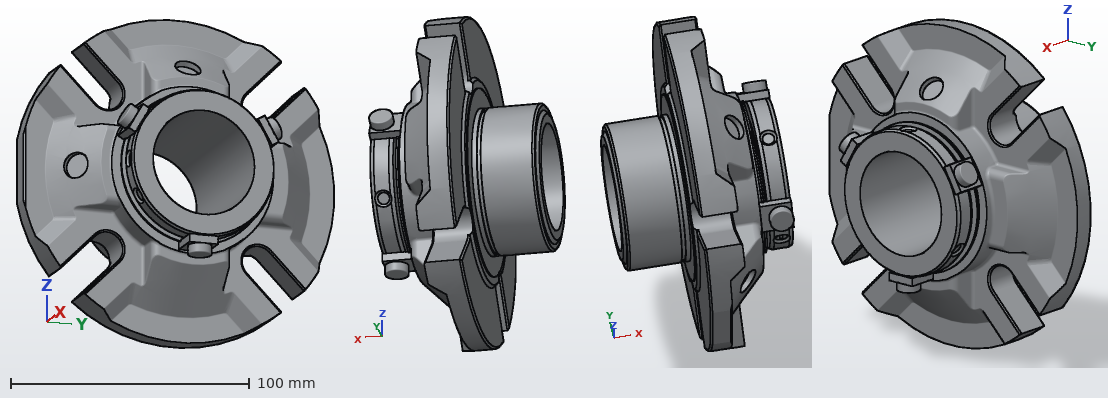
import cadquery as cq
import math


BORE_DIA = 45.0
SLEEVE_START_X = -29.5
SLEEVE_TIP_LENGTH = 1.3
SLEEVE_TIP_DIA = 56.3
SLEEVE_TIP_FACE_DIA = 53
SLEEVE_DIA = 62.2
SLEEVE_CHAMFER = 0.9
RELIEF_GROOVE_DIA = 60.4
RELIEF_GROOVE_START_X = -5.5
RELIEF_GROOVE_WIDTH = 1.7
SLEEVE_REAR_DIA = 47.5

FLANGE_DIA = 139.5
RIM_THICKNESS = 9.3
LUG_HEIGHT = 16.0
FLANGE_CHAMFER = 0.8
FLAT_Y = -68.3
PAD_DIA = 85.9
PAD_BASE_DIA = 88.4
PAD_HEIGHT = 1.3
GASKET_DIA = 79.3
GASKET_HEIGHT = 1.7

SLOT_ANGLES = (45, 135, 225, 315)
SLOT_WIDTH = 14.2
SLOT_CENTRE_RADIUS = 47.5
LUG_TOP_WIDTH = 35.4
LUG_BASE_WIDTH = 47.4
LUG_ROOT_FILLET = 2.6
FLOOR_FILLET = 0.7
SLOT_CHAMFER = 0.7

HUB_RADIUS = 52.2
NOSE_DIA = 71.7
NOSE_END_X = 28.2
NOSE_ROOT_FILLET = 1.4
BOSS_WIDTH = 34.9
BOSS_END_X = 27.6
SHORT_BOSS_END_X = 24.3
BOSS_END_FILLET = 3.5
BOSS_ROOT_FILLET = 1.5
BOSS_EDGE_FILLET = 0.7
BOSS_ANGLES_FULL = (90, 180, 270)
BOSS_ANGLE_SHORT = 0
PORT_DIA = 11.0
PORT_DEPTH = 2.8
FRONT_PORT_ANGLE = 180
FRONT_PORT_X = 19.4
TOP_PORT_ANGLE = 90
TOP_PORT_X = 22.3

RING_DIA = 63.5
RING_STEP_X = 29.5
RING_STEP_DIA = 65.0
RING_END_X = 30.4
RING_CONE_END_X = 31.1
RING_CONE_END_DIA = 50.2
COLLAR_START_X = 32.0
COLLAR_END_X = 41.7
COLLAR_DIA = 63.5
COLLAR_CHAMFER_LENGTH = 1.7
COLLAR_CHAMFER_DEPTH = 0.7
SET_SCREW_ANGLES = (90, 180, 210, 330)
SET_SCREW_DIA = 5.0
SET_SCREW_MOUTH_DIA = 7.4
SLOTTED_SCREW_ANGLE = 180
DRIVER_SLOT_WIDTH = 1.3
DRIVER_SLOT_DEPTH = 0.7

CLIP_ANGLES = (30, 150, 270)
CLIP_WIDTH = 12.5
CLIP_OUTER_RADIUS = 34.9
CLIP_THICKNESS = 3.5
CLIP_HEAD_DIA = 10.0
CLIP_HEAD_RADIUS = 38.8
CLIP_HEAD_FILLET = 0.4

SEAM_ANGLE = 45
NEAR = 0.01

COLLAR_MID_X = (COLLAR_START_X + COLLAR_END_X) / 2


def about_x(shape, angle):
    """Turn a shape lying on +Y about the X axis, +Y towards +Z."""
    return shape.rotate((0, 0, 0), (1, 0, 0), angle)


def turned(points):
    """Solid of revolution about X from (x, radius) points."""
    return cq.Workplane("XY").polyline(points).close().revolve(360, (0, 0, 0), (1, 0, 0))


def disc(diameter, start_x, end_x):
    return cq.Workplane("YZ", origin=(start_x, 0, 0)).circle(diameter / 2).extrude(end_x - start_x)


def reach_of(edge):
    """Distance of an edge's middle from the X axis."""
    middle = edge.positionAt(0.5)
    return math.hypot(middle.y, middle.z)


def hub_radius_at(x):
    return HUB_RADIUS + LUG_HEIGHT - x


def make_lug(angle):
    """Radial bar with sloping sides, turned to a slot direction."""
    bar = (
        cq.Workplane("XZ")
        .polyline([
            (0, -LUG_BASE_WIDTH / 2),
            (RIM_THICKNESS, -LUG_BASE_WIDTH / 2),
            (LUG_HEIGHT, -LUG_TOP_WIDTH / 2),
            (LUG_HEIGHT, LUG_TOP_WIDTH / 2),
            (RIM_THICKNESS, LUG_BASE_WIDTH / 2),
            (0, LUG_BASE_WIDTH / 2),
        ])
        .close()
        .extrude(-FLANGE_DIA)
    )
    return about_x(bar, angle).intersect(disc(FLANGE_DIA, 0, LUG_HEIGHT))


def make_slot(angle):
    slot = (
        cq.Workplane("YZ")
        .center(SLOT_CENTRE_RADIUS + FLANGE_DIA / 2, 0)
        .slot2D(FLANGE_DIA + SLOT_WIDTH, SLOT_WIDTH)
        .extrude(LUG_HEIGHT)
    )
    return about_x(slot, angle)


def make_flange():
    flange = disc(FLANGE_DIA, 0, RIM_THICKNESS)
    for angle in SLOT_ANGLES:
        flange = flange.union(make_lug(angle))
    hub = turned([
        (0, 0),
        (0, hub_radius_at(RIM_THICKNESS)),
        (RIM_THICKNESS, hub_radius_at(RIM_THICKNESS)),
        (NOSE_END_X, hub_radius_at(NOSE_END_X)),
        (NOSE_END_X, 0),
    ])
    hub = about_x(hub, SEAM_ANGLE)
    flange = flange.union(hub)
    roots = flange.edges().filter(
        lambda e: RIM_THICKNESS + NEAR < e.positionAt(0.5).x < LUG_HEIGHT - NEAR
        and reach_of(e) < hub_radius_at(RIM_THICKNESS)
    )
    flange = roots.fillet(LUG_ROOT_FILLET)
    floor_edges = flange.edges().filter(
        lambda e: abs(e.positionAt(0.5).x - RIM_THICKNESS) < NEAR and reach_of(e) < FLANGE_DIA / 2 - NEAR
    )
    flange = floor_edges.fillet(FLOOR_FILLET)
    for angle in SLOT_ANGLES:
        flange = flange.cut(make_slot(angle))
    beyond_flat = cq.Workplane("XY").box(FLANGE_DIA, FLANGE_DIA, FLANGE_DIA)
    flange = flange.cut(beyond_flat.translate((0, FLAT_Y - FLANGE_DIA / 2, 0)))
    flange = flange.faces("<X").edges().chamfer(FLANGE_CHAMFER)
    return flange.faces("<Y").edges(">X").chamfer(FLANGE_CHAMFER)


def make_boss(angle, end_x):
    """Flat-sided radial bar, flared at its root and rounded at its end."""
    half = BOSS_WIDTH / 2
    root = BOSS_ROOT_FILLET
    end = BOSS_END_FILLET
    profile = (
        cq.Workplane("XZ")
        .moveTo(LUG_HEIGHT, -half - root)
        .radiusArc((LUG_HEIGHT + root, -half), root)
        .lineTo(end_x - end, -half)
        .radiusArc((end_x, -half + end), -end)
        .lineTo(end_x, half - end)
        .radiusArc((end_x - end, half), -end)
        .lineTo(LUG_HEIGHT + root, half)
        .radiusArc((LUG_HEIGHT, half + root), root)
        .close()
        .extrude(-FLANGE_DIA / 2)
    )
    return about_x(profile, angle)


def make_port(angle, x):
    """Port drilled square to the hub cone."""
    mouth = cq.Plane(origin=(x, hub_radius_at(x), 0), xDir=(0, 0, 1), normal=(1, 1, 0))
    drill = cq.Workplane(mouth).workplane(offset=-PORT_DEPTH).circle(PORT_DIA / 2).extrude(2 * PORT_DEPTH)
    return about_x(drill, angle)


def make_boss_surround():
    """Space around the nose and bosses, with its edges along the nose rounded."""
    end_x = NOSE_END_X + 2 * NOSE_ROOT_FILLET
    surround = disc(FLANGE_DIA, LUG_HEIGHT, end_x)
    for angle in BOSS_ANGLES_FULL:
        surround = surround.cut(make_boss(angle, BOSS_END_X))
    surround = surround.cut(make_boss(BOSS_ANGLE_SHORT, SHORT_BOSS_END_X))
    surround = surround.cut(about_x(disc(NOSE_DIA, LUG_HEIGHT, end_x), SEAM_ANGLE))
    nose_edges = surround.edges().filter(
        lambda e: abs(reach_of(e) - NOSE_DIA / 2) < NEAR and e.positionAt(0.5).x < NOSE_END_X
    )
    return nose_edges.fillet(NOSE_ROOT_FILLET)


def make_gland():
    gland = make_flange().cut(make_boss_surround())
    boss_rims = gland.edges().filter(
        lambda e: e.positionAt(0.5).x > LUG_HEIGHT + NEAR
        and abs(reach_of(e) - hub_radius_at(e.positionAt(0.5).x)) < NEAR
    )
    gland = boss_rims.fillet(BOSS_EDGE_FILLET)
    slot_ends = gland.edges("%CIRCLE").filter(
        lambda e: abs(e.radius() - SLOT_WIDTH / 2) < NEAR and abs(e.Center().x - LUG_HEIGHT) < NEAR
    )
    gland = slot_ends.chamfer(SLOT_CHAMFER)
    gland = gland.cut(make_port(FRONT_PORT_ANGLE, FRONT_PORT_X))
    gland = gland.cut(make_port(TOP_PORT_ANGLE, TOP_PORT_X))
    pads = turned([
        (FLANGE_CHAMFER, 0),
        (-GASKET_HEIGHT, 0),
        (-GASKET_HEIGHT, GASKET_DIA / 2),
        (-PAD_HEIGHT, GASKET_DIA / 2),
        (-PAD_HEIGHT, PAD_DIA / 2),
        (0, PAD_BASE_DIA / 2),
        (FLANGE_CHAMFER, PAD_BASE_DIA / 2),
    ])
    for angle in SLOT_ANGLES:
        pads = pads.cut(make_slot(angle).translate((-GASKET_HEIGHT, 0, 0)))
    return gland.union(pads)


def make_sleeve():
    shoulder_x = SLEEVE_START_X + SLEEVE_TIP_LENGTH
    groove_end_x = RELIEF_GROOVE_START_X + RELIEF_GROOVE_WIDTH
    return turned([
        (SLEEVE_START_X, 0),
        (SLEEVE_START_X, SLEEVE_TIP_FACE_DIA / 2),
        (shoulder_x, SLEEVE_TIP_DIA / 2),
        (shoulder_x, SLEEVE_DIA / 2 - SLEEVE_CHAMFER),
        (shoulder_x + SLEEVE_CHAMFER, SLEEVE_DIA / 2),
        (RELIEF_GROOVE_START_X, SLEEVE_DIA / 2),
        (RELIEF_GROOVE_START_X, RELIEF_GROOVE_DIA / 2),
        (groove_end_x, RELIEF_GROOVE_DIA / 2),
        (groove_end_x, SLEEVE_DIA / 2),
        (0, SLEEVE_DIA / 2),
        (0, SLEEVE_REAR_DIA / 2),
        (COLLAR_END_X, SLEEVE_REAR_DIA / 2),
        (COLLAR_END_X, 0),
    ])


def make_ring():
    """Stepped ring behind the nose, tapering steeply to the sleeve."""
    return turned([
        (NOSE_END_X, 0),
        (NOSE_END_X, RING_DIA / 2),
        (RING_STEP_X, RING_DIA / 2),
        (RING_STEP_X, RING_STEP_DIA / 2),
        (RING_END_X, RING_STEP_DIA / 2),
        (RING_CONE_END_X, RING_CONE_END_DIA / 2),
        (RING_CONE_END_X, 0),
    ])


def make_set_screw_seat(angle):
    """Conical mouth around a set screw whose flat end closes it."""
    mouth = cq.Plane(origin=(COLLAR_MID_X, COLLAR_DIA / 2, 0), xDir=(0, 0, 1), normal=(0, 1, 0))
    depth = (SET_SCREW_MOUTH_DIA - SET_SCREW_DIA) / 2
    seat = (
        cq.Workplane(mouth)
        .circle(SET_SCREW_MOUTH_DIA / 2)
        .workplane(offset=-depth)
        .circle(SET_SCREW_DIA / 2)
        .loft()
    )
    if angle == SLOTTED_SCREW_ANGLE:
        driver_slot = (
            cq.Workplane(mouth)
            .rect(SET_SCREW_DIA, DRIVER_SLOT_WIDTH)
            .extrude(-depth - DRIVER_SLOT_DEPTH)
            .intersect(cq.Workplane(mouth).circle(SET_SCREW_DIA / 2).extrude(-2 * depth))
        )
        seat = seat.union(driver_slot)
    return about_x(seat, angle)


def make_collar():
    radius = COLLAR_DIA / 2
    edge_radius = radius - COLLAR_CHAMFER_DEPTH
    collar = turned([
        (COLLAR_START_X, 0),
        (COLLAR_START_X, edge_radius),
        (COLLAR_START_X + COLLAR_CHAMFER_LENGTH, radius),
        (COLLAR_END_X - COLLAR_CHAMFER_LENGTH, radius),
        (COLLAR_END_X, edge_radius),
        (COLLAR_END_X, 0),
    ])
    for angle in SET_SCREW_ANGLES:
        collar = collar.cut(make_set_screw_seat(angle))
    return collar


def make_clip(angle):
    """Setting clip bridging nose and collar, with its screw head."""
    clip = cq.Workplane("XY").box(
        COLLAR_END_X - NOSE_END_X, CLIP_THICKNESS, CLIP_WIDTH, centered=(False, False, True)
    ).translate((NOSE_END_X, CLIP_OUTER_RADIUS - CLIP_THICKNESS, 0))
    head = (
        cq.Workplane("XZ", origin=(COLLAR_END_X - CLIP_HEAD_DIA / 2, CLIP_OUTER_RADIUS, 0))
        .circle(CLIP_HEAD_DIA / 2)
        .extrude(CLIP_OUTER_RADIUS - CLIP_HEAD_RADIUS)
        .faces(">Y")
        .edges()
        .fillet(CLIP_HEAD_FILLET)
    )
    return about_x(clip.union(head), angle)


result = make_gland().union(make_sleeve()).union(make_ring()).union(make_collar())
for clip_angle in CLIP_ANGLES:
    result = result.union(make_clip(clip_angle))
result = result.cut(disc(BORE_DIA, SLEEVE_START_X, COLLAR_END_X))